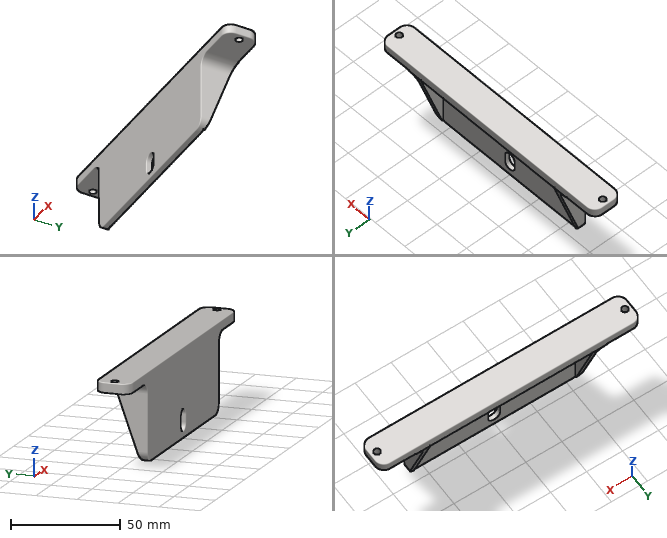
import cadquery as cq

length = 145.0
depth = 17.1
height = 43.2

flange_thickness = 5.1
web_width = 96.3
web_bottom_depth = 3.5
flange_corner_radius = 5.0
web_corner_radius = 5.1
edge_radius = 0.5
wall_thickness = 3.0

hole_diameter = 3.5
hole_end_distance = 3.6

slot_width = 6.5
slot_length = 10.5
slot_centre_height = 8.7

flange_bottom = height - flange_thickness
mid_depth = depth / 2


def make_flange():
    """Rounded plate with rounded top and bottom rims."""
    return (
        cq.Workplane("XY", origin=(0, mid_depth, flange_bottom))
        .rect(length, depth)
        .extrude(flange_thickness)
        .edges("|Z")
        .fillet(flange_corner_radius)
        .faces("<Z or >Z")
        .edges()
        .fillet(edge_radius)
    )


def make_slot_cutter():
    """Vertical slot running front to back."""
    return (
        cq.Workplane("XZ", origin=(0, 0, slot_centre_height))
        .slot2D(slot_length, slot_width, 90)
        .extrude(-depth)
    )


def make_web():
    """Web flaring into the flange, rounded along its front edges and tapered at the back."""
    half_width = web_width / 2
    flare_half_width = half_width + web_corner_radius
    front_rim = (
        cq.Workplane("XZ")
        .moveTo(-half_width + web_corner_radius, 0)
        .lineTo(half_width - web_corner_radius, 0)
        .radiusArc((half_width, web_corner_radius), -web_corner_radius)
        .lineTo(half_width, flange_bottom - web_corner_radius)
        .radiusArc((flare_half_width, flange_bottom), web_corner_radius)
        .lineTo(length / 2 - flange_corner_radius, flange_bottom)
        .lineTo(length / 2 - flange_corner_radius, height)
        .lineTo(-length / 2 + flange_corner_radius, height)
        .lineTo(-length / 2 + flange_corner_radius, flange_bottom)
        .lineTo(-flare_half_width, flange_bottom)
        .radiusArc((-half_width, flange_bottom - web_corner_radius), web_corner_radius)
        .lineTo(-half_width, web_corner_radius)
        .radiusArc((-half_width + web_corner_radius, 0), -web_corner_radius)
        .close()
        .extrude(-depth)
        .cut(make_slot_cutter())
        .faces("<Y")
        .edges()
        .fillet(edge_radius)
    )
    web_top = height - edge_radius
    taper = (
        cq.Workplane("YZ")
        .polyline([
            (0, 0),
            (web_bottom_depth, 0),
            (depth, flange_bottom),
            (depth, web_top),
            (0, web_top),
        ])
        .close()
        .extrude(web_width / 2 + web_corner_radius, both=True)
    )
    return front_rim.intersect(taper)


def make_back_recess():
    """Open space behind the front wall, between the two side gussets."""
    return cq.Workplane("XY").box(
        web_width - 2 * wall_thickness,
        depth - wall_thickness,
        flange_bottom,
        centered=(True, False, False),
    ).translate((0, wall_thickness, 0))


hole_x = length / 2 - hole_end_distance
hole_cutter = (
    cq.Workplane("XY", origin=(0, mid_depth, flange_bottom))
    .pushPoints([(-hole_x, 0), (hole_x, 0)])
    .circle(hole_diameter / 2)
    .extrude(flange_thickness)
)

result = (
    make_flange()
    .union(make_web())
    .cut(make_back_recess())
    .cut(hole_cutter)
    .clean()
)